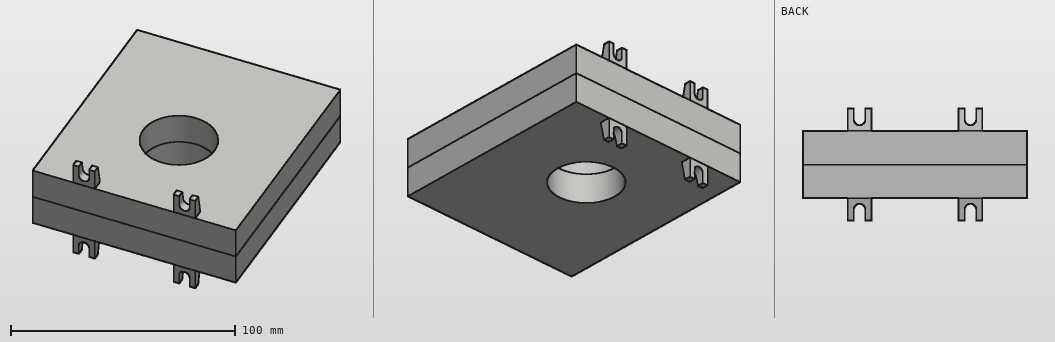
import cadquery as cq

block_width = 100.0
block_length = 110.0
overall_height = 50.0

bore_diameter = 35.0
bore_from_front = 47.0

lug_spacing = 49.4
lug_width = 10.7
lug_height = 10.0
lug_root_depth = 5.4
lug_tip_depth = 3.3
slot_width = 5.1
slot_depth = 7.5

plate_thickness = overall_height / 2 - lug_height


def make_plate(bottom_z):
    """Rectangular plate with the round bore through it."""
    plate = cq.Workplane("XY").box(
        block_width, block_length, plate_thickness, centered=(True, False, False)
    )
    bore = (
        cq.Workplane("XY")
        .center(0, bore_from_front)
        .circle(bore_diameter / 2)
        .extrude(plate_thickness)
    )
    return plate.cut(bore).translate((0, 0, bottom_z))


def make_slot_cutter():
    """Open-topped slot with a round bottom, running along Y through a lug."""
    radius = slot_width / 2
    arc_centre_z = lug_height - slot_depth + radius
    return (
        cq.Workplane("XZ")
        .moveTo(-radius, lug_height)
        .lineTo(-radius, arc_centre_z)
        .threePointArc((0, arc_centre_z - radius), (radius, arc_centre_z))
        .lineTo(radius, lug_height)
        .close()
        .extrude(-lug_root_depth)
    )


def make_upper_lug(center_x):
    """Lug on the top face, with a sloping back and a slot open at its tip."""
    profile = [
        (0, 0),
        (lug_root_depth, 0),
        (lug_tip_depth, lug_height),
        (0, lug_height),
    ]
    lug = cq.Workplane("YZ").polyline(profile).close().extrude(lug_width / 2, both=True)
    return lug.cut(make_slot_cutter()).translate((center_x, 0, plate_thickness))


lower_plate = make_plate(-plate_thickness)
upper_plate = make_plate(0)

lugs = []
for side in (-1, 1):
    upper_lug = make_upper_lug(side * lug_spacing / 2)
    lower_lug = upper_lug.mirror("XY")
    lugs += [upper_lug.val(), lower_lug.val()]

result = cq.Compound.makeCompound([lower_plate.val(), upper_plate.val(), *lugs])